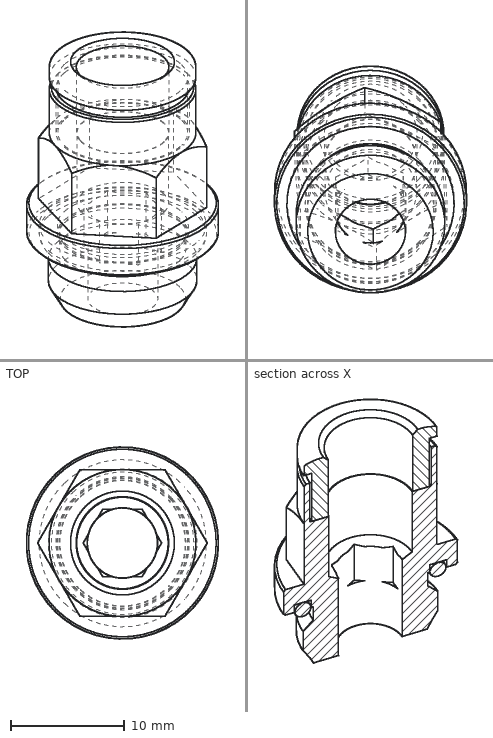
import cadquery as cq
import math


lead_in_top = 1.8
thread_top = 4.05
flange_bottom = 6.5
flange_top = 9.5
hex_top = 16.5
body_top = 21.0
collar_flange_bottom = 22.0
total_height = 23.5

thread_diameter = 13.16
thread_tip_diameter = 11.1
neck_diameter = 11.2
flange_diameter = 17.0
hex_across_flats = 13.0
sleeve_housing_diameter = 13.0
edge_chamfer = 0.2

bore_diameter = 6.2
tube_seat_diameter = 8.1
tube_stop_angle = 60.0
tube_seat_bottom = flange_top
socket_across_flats = 6.0
socket_bottom = 5.0

ring_section_diameter = 1.6
ring_inner_diameter = 11.6
ring_protrusion = 0.75
ring_outer_diameter = ring_inner_diameter + 2 * ring_section_diameter
groove_depth = ring_section_diameter - ring_protrusion

collar_diameter = 13.0
collar_sleeve_diameter = 11.5
collar_recess_diameter = 11.8
collar_bore_diameter = 8.2
collar_bottom = hex_top
collar_mouth_chamfer = 0.5
collar_mouth_diameter = collar_bore_diameter + 2 * collar_mouth_chamfer
collar_face_diameter = 10.6
collar_face_drop = 0.2
collar_edge_radius = 0.35


def cylinder(diameter, bottom, top):
    """Cylinder on the Z axis between two heights."""
    return cq.Workplane("XY").workplane(offset=bottom).circle(diameter / 2).extrude(top - bottom)


def hexagon(across_flats, bottom, top):
    """Hexagonal prism on the Z axis, with two corners on the X axis."""
    across_corners = across_flats / math.cos(math.pi / 6)
    return cq.Workplane("XY").workplane(offset=bottom).polygon(6, across_corners).extrude(top - bottom)


def revolve_outline(points):
    """Solid of revolution about Z from (radius, height) points."""
    return cq.Workplane("XZ").polyline(points).close().revolve(360, (0, 0, 0), (0, 1, 0))


def threaded_end():
    thread_radius = thread_diameter / 2
    neck_radius = neck_diameter / 2
    neck_bottom = thread_top + thread_radius - neck_radius
    return revolve_outline([
        (0, 0),
        (thread_tip_diameter / 2, 0),
        (thread_radius, lead_in_top),
        (thread_radius, thread_top),
        (neck_radius, neck_bottom),
        (neck_radius, flange_bottom),
        (0, flange_bottom),
    ])


def chamfered_hex():
    """Hexagon whose top corners are cut by a 45 degree cone starting at the flats."""
    flat_radius = hex_across_flats / 2
    hex_height = hex_top - flange_top
    cone = revolve_outline([
        (0, flange_top),
        (flat_radius + hex_height, flange_top),
        (flat_radius, hex_top),
        (0, hex_top),
    ])
    return hexagon(hex_across_flats, flange_top, hex_top).intersect(cone)


def body_passage():
    """Collar recess, tube seat with its conical stop, hexagon socket and through bore."""
    seat_radius = tube_seat_diameter / 2
    bore_radius = bore_diameter / 2
    stop_bottom = tube_seat_bottom - (seat_radius - bore_radius) / math.tan(math.radians(tube_stop_angle))
    tube_seat = revolve_outline([
        (0, stop_bottom),
        (bore_radius, stop_bottom),
        (seat_radius, tube_seat_bottom),
        (seat_radius, body_top),
        (0, body_top),
    ])
    collar_recess = cylinder(collar_recess_diameter, collar_bottom, body_top)
    socket = hexagon(socket_across_flats, socket_bottom, tube_seat_bottom)
    bore = cylinder(bore_diameter, 0, tube_seat_bottom)
    return tube_seat.union(collar_recess).union(socket).union(bore)


def ring_groove():
    groove_top = flange_bottom + groove_depth
    outside = cylinder(ring_outer_diameter, flange_bottom, groove_top)
    return outside.cut(cylinder(ring_inner_diameter, flange_bottom, groove_top))


def make_body():
    flange = cylinder(flange_diameter, flange_bottom, flange_top).edges().chamfer(edge_chamfer)
    housing = cylinder(sleeve_housing_diameter, hex_top, body_top).faces(">Z").edges().chamfer(edge_chamfer)
    outside = threaded_end().union(flange).union(chamfered_hex()).union(housing)
    return outside.cut(ring_groove()).cut(body_passage())


def make_collar():
    collar_radius = collar_diameter / 2
    sleeve_radius = collar_sleeve_diameter / 2
    bore_radius = collar_bore_diameter / 2
    slope_bottom = total_height - collar_face_drop
    arc_inset = collar_edge_radius * (1 - math.sqrt(0.5))
    return (
        cq.Workplane("XZ")
        .moveTo(bore_radius, collar_bottom)
        .lineTo(sleeve_radius, collar_bottom)
        .lineTo(sleeve_radius, collar_flange_bottom)
        .lineTo(collar_radius, collar_flange_bottom)
        .lineTo(collar_radius, slope_bottom - collar_edge_radius)
        .threePointArc(
            (collar_radius - arc_inset, slope_bottom - arc_inset),
            (collar_radius - collar_edge_radius, slope_bottom),
        )
        .lineTo(collar_face_diameter / 2, total_height)
        .lineTo(collar_mouth_diameter / 2, total_height)
        .lineTo(bore_radius, total_height - collar_mouth_chamfer)
        .close()
        .revolve(360, (0, 0, 0), (0, 1, 0))
    )


def make_ring():
    section_radius = ring_section_diameter / 2
    centre_radius = ring_inner_diameter / 2 + section_radius
    centre_height = flange_bottom - ring_protrusion + section_radius
    return (
        cq.Workplane("XZ")
        .center(centre_radius, centre_height)
        .circle(section_radius)
        .revolve(360, (-centre_radius, 0, 0), (-centre_radius, 1, 0))
    )


body = make_body()
collar = make_collar()
ring = make_ring()

result = cq.Compound.makeCompound([body.val(), collar.val(), ring.val()])